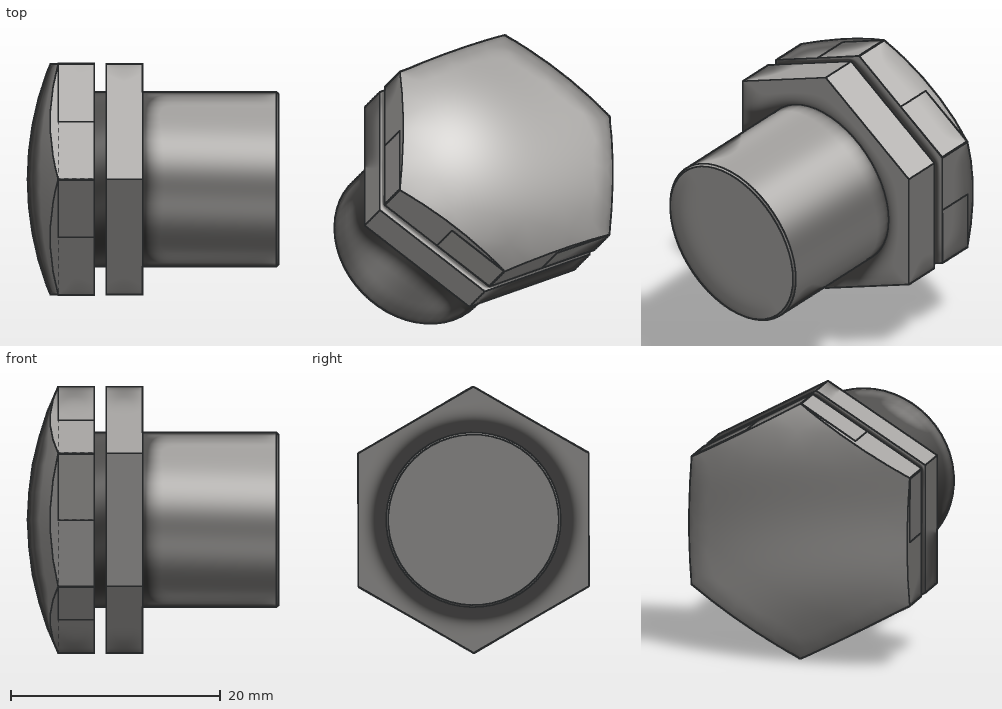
import cadquery as cq
import math

across_flats = 22.0
apothem = across_flats / 2
corner_radius = apothem / math.cos(math.radians(30))
side_count = 6
side_angle = 360 / side_count

shank_length = 12.95
flange_thickness = 3.5
neck_length = 1.12
head_side_length = 3.44

shank_diameter = 16.66
shank_chamfer = 0.2
dome_radius = 29.0

wedge_turn = 0.4

flange_front = -flange_thickness
head_back = flange_front - neck_length
head_corner = head_back - head_side_length
dome_center = head_corner + math.sqrt(dome_radius**2 - corner_radius**2)
dome_apex = dome_center - dome_radius


def hex_prism(start, end):
    """Hexagonal prism between two places along X."""
    return (
        cq.Workplane("YZ", origin=(start, 0, 0))
        .polygon(side_count, 2 * corner_radius)
        .extrude(end - start)
        .rotate((0, 0, 0), (1, 0, 0), side_angle / 2)
    )


def make_plug():
    """Domed hexagon head, neck, hexagon flange and round shank in one piece."""
    dome = cq.Workplane("XY").sphere(dome_radius).translate((dome_center, 0, 0))
    head = hex_prism(dome_apex, head_back).intersect(dome)
    flange = hex_prism(flange_front, 0)
    shank = (
        cq.Workplane("YZ", origin=(head_back, 0, 0))
        .circle(shank_diameter / 2)
        .extrude(shank_length - head_back)
        .faces(">X")
        .chamfer(shank_chamfer)
    )
    return head.union(shank).union(flange)


def make_wedge(index):
    """Wedge on one half of a head side, thickest close to the corner."""
    turned_corner = math.radians(side_angle / 2 - wedge_turn)
    outline = [
        (-apothem, -apothem * math.tan(math.radians(wedge_turn / 2))),
        (-corner_radius * math.cos(turned_corner), corner_radius * math.sin(turned_corner)),
        (-apothem, apothem * math.tan(math.radians((side_angle - wedge_turn) / 2))),
    ]
    return (
        cq.Workplane("YZ", origin=(head_corner, 0, 0))
        .polyline(outline)
        .close()
        .extrude(head_side_length)
        .rotate((0, 0, 0), (1, 0, 0), index * side_angle)
    )


plug = make_plug()
wedges = [make_wedge(index) for index in range(side_count)]

result = cq.Compound.makeCompound([plug.solids().val(), *[wedge.val() for wedge in wedges]])